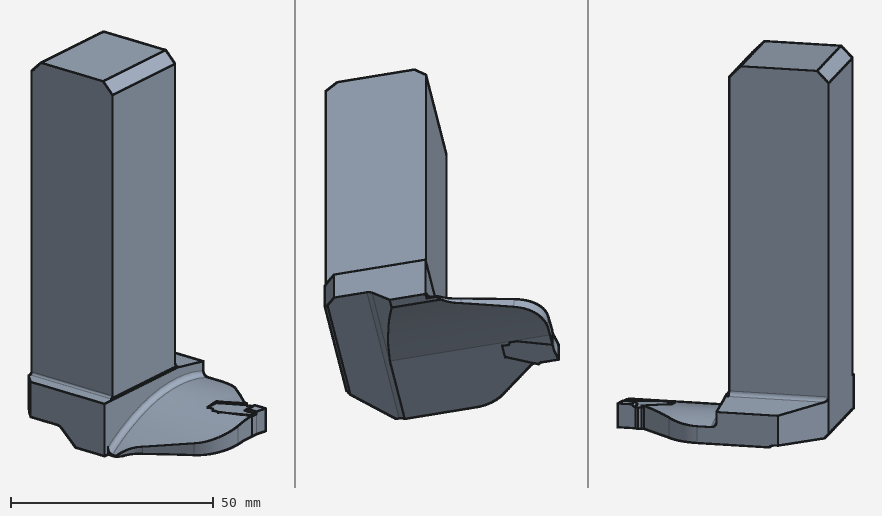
import cadquery as cq

SHANK_SIDE = 25.3
SHANK_FRONT = 4.1
SHANK_BACK = SHANK_FRONT + SHANK_SIDE
TOTAL_HEIGHT = 98.05
TOP_CHAMFER = 2.9
FRONT_FOOT_RADIUS = 0.6
BACK_FOOT_RADIUS = 1.2

BASE_WIDTH = 26.0
BASE_DEPTH = 39.9
BASE_TOP = 14.0
BASE_BACK_TOP = 12.3
BASE_UNDERSIDE = 4.6
BASE_CHAMFER = 2.9
BACK_CHAMFER_X = 10.4
BACK_CHAMFER_Y = BASE_DEPTH - SHANK_BACK
UNDERSIDE_CHAMFER = 0.9
HEEL_START = 12.0
HEEL_END = 17.0
HEEL_RADIUS = 2.0

BLADE_END = 52.9
BLADE_FRONT = 1.4
BLADE_UNDERSIDE = 4.0
BLADE_TOP = 9.7
BLADE_BACK_TOP = 8.3
BLADE_CREST_Y = 24.5
ROOT_RADIUS = 1.4
UNDERSIDE_FLAT_Y = 2.5
UNDERSIDE_CURVE_END_Y = 21.6

INSERT_BACK = 29.5
TIP_START = 50.0
TIP_END = 53.5
TIP_FRONT = 26.5
TIP_TOP = 10.1
INSERT_TOP = 9.4
TIP_RAMP = 0.8


def extrude_along_x(outline, start, end):
    return outline.extrude(end - start).translate((start, 0, 0))


def make_shank():
    return (
        cq.Workplane("XY")
        .box(SHANK_SIDE, SHANK_SIDE, TOTAL_HEIGHT - BASE_UNDERSIDE, centered=False)
        .translate((0, SHANK_FRONT, BASE_UNDERSIDE))
        .edges("|Y and >Z")
        .chamfer(TOP_CHAMFER)
        .edges("|Y and <Z and <X")
        .chamfer(UNDERSIDE_CHAMFER)
    )


def below_side_profile(top_outline):
    """Close a YZ outline along the blade's curved underside."""
    return (
        top_outline.lineTo(BASE_DEPTH, BLADE_UNDERSIDE)
        .lineTo(UNDERSIDE_CURVE_END_Y, BLADE_UNDERSIDE)
        .threePointArc((12.5, 2.7), (UNDERSIDE_FLAT_Y, 0))
        .lineTo(0, 0)
        .close()
    )


def make_base():
    plan = (
        cq.Workplane("XY")
        .moveTo(BASE_CHAMFER, 0)
        .lineTo(BASE_WIDTH, 0)
        .lineTo(BASE_WIDTH, BASE_DEPTH)
        .lineTo(BACK_CHAMFER_X, BASE_DEPTH)
        .lineTo(0, BASE_DEPTH - BACK_CHAMFER_Y)
        .lineTo(0, BASE_CHAMFER)
        .close()
        .extrude(BASE_TOP)
    )
    front_profile = (
        cq.Workplane("XZ")
        .moveTo(0, BASE_TOP)
        .lineTo(BASE_WIDTH, BASE_TOP)
        .lineTo(BASE_WIDTH, 0)
        .lineTo(HEEL_END, 0)
        .lineTo(HEEL_START, BASE_UNDERSIDE)
        .lineTo(UNDERSIDE_CHAMFER, BASE_UNDERSIDE)
        .lineTo(0, BASE_UNDERSIDE + UNDERSIDE_CHAMFER)
        .close()
        .extrude(-BASE_DEPTH)
        .edges(cq.NearestToPointSelector((HEEL_START, BASE_DEPTH / 2, BASE_UNDERSIDE)))
        .fillet(HEEL_RADIUS)
    )
    side_top = (
        cq.Workplane("YZ")
        .moveTo(0, 0)
        .lineTo(0, BASE_TOP)
        .lineTo(SHANK_BACK, BASE_TOP)
        .lineTo(BASE_DEPTH, BASE_BACK_TOP)
    )
    side_profile = extrude_along_x(below_side_profile(side_top), 0, BASE_WIDTH)
    return plan.intersect(front_profile).intersect(side_profile)


def make_blade():
    plan = (
        cq.Workplane("XY")
        .moveTo(HEEL_END, BLADE_FRONT)
        .lineTo(28.5, BLADE_FRONT)
        .threePointArc((30.8, 3.7), (33.8, 5.2))
        .lineTo(46.3, 9.9)
        .threePointArc((51.2, 13.7), (BLADE_END, 19.0))
        .lineTo(BLADE_END, INSERT_BACK)
        .lineTo(46.9, INSERT_BACK)
        .lineTo(38.9, 36.4)
        .threePointArc((35.3, 38.9), (30.9, BASE_DEPTH))
        .lineTo(HEEL_END, BASE_DEPTH)
        .close()
        .extrude(BASE_TOP)
    )
    side_top = (
        cq.Workplane("YZ")
        .moveTo(0, 0)
        .lineTo(BLADE_FRONT, 0.3)
        .spline(
            [(4.7, 2.55), (9.9, 5.4), (18.6, 8.6), (BLADE_CREST_Y, BLADE_TOP), (BASE_DEPTH, BLADE_BACK_TOP)],
            includeCurrent=True,
        )
    )
    side_profile = extrude_along_x(below_side_profile(side_top), HEEL_END, BLADE_END)
    return plan.intersect(side_profile)


def insert_prism(bottom, top):
    """Insert outline extruded between two heights; also the shape of its seat."""
    return (
        cq.Workplane("XY")
        .workplane(offset=bottom)
        .moveTo(40.7, 22.6)
        .lineTo(42.4, 22.6)
        .lineTo(42.75, 21.9)
        .lineTo(44.5, 21.9)
        .lineTo(BLADE_END, 24.7)
        .lineTo(BLADE_END, TIP_FRONT)
        .lineTo(TIP_END, INSERT_BACK)
        .lineTo(49.0, INSERT_BACK)
        .lineTo(48.3, 29.9)
        .lineTo(41.2, 26.3)
        .lineTo(40.7, 26.3)
        .close()
        .extrude(top - bottom)
    )


def make_insert():
    body = insert_prism(BLADE_UNDERSIDE, TIP_TOP)
    step = (
        cq.Workplane("XZ")
        .moveTo(0, INSERT_TOP)
        .lineTo(TIP_START - TIP_RAMP, INSERT_TOP)
        .lineTo(TIP_START, TIP_TOP)
        .lineTo(0, TIP_TOP)
        .close()
        .extrude(-BASE_DEPTH)
    )
    tip_relief = (
        cq.Workplane("XY")
        .workplane(offset=INSERT_TOP)
        .rect(TIP_END, TIP_FRONT, centered=False)
        .extrude(TIP_TOP - INSERT_TOP)
    )
    return body.cut(step).cut(tip_relief)


def round_shank_foot(holder):
    """Round the inner corners along the front and back of the shank."""
    for y, radius in ((SHANK_FRONT, FRONT_FOOT_RADIUS), (SHANK_BACK, BACK_FOOT_RADIUS)):
        corner = cq.NearestToPointSelector((SHANK_SIDE / 2, y, BASE_TOP))
        holder = holder.edges(corner).fillet(radius)
    return holder


insert = make_insert()

seat = insert_prism(0, BASE_TOP)
shank_and_base = round_shank_foot(make_shank().union(make_base()))
holder = shank_and_base.union(make_blade())
root = cq.NearestToPointSelector((BASE_WIDTH, BLADE_CREST_Y, BLADE_TOP))
holder = holder.edges(root).fillet(ROOT_RADIUS).cut(seat)

result = cq.Compound.makeCompound([holder.val(), insert.val()])